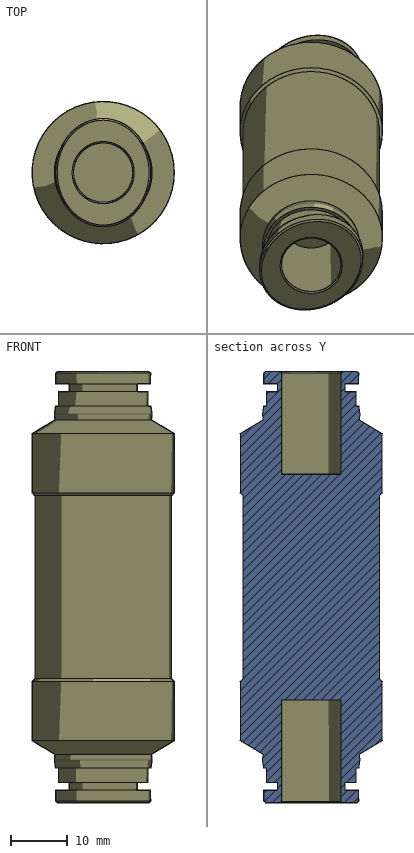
import cadquery as cq

total_length = 75.7
half_length = total_length / 2

tube_radius = 12.0
sleeve_radius = 12.5
sleeve_edge_chamfer = sleeve_radius - tube_radius

flange_thickness = 2.2
neck_depth = 3.55
collar_depth = 6.1
ring_crest_depth = 7.5
ring_base_depth = 8.5
shoulder_depth = 10.9
sleeve_depth = 21.8

neck_radius = 6.0
collar_radius = 7.9
ring_tip_radius = 8.4
ring_crest_radius = 8.6
ring_base_radius = 8.5

flange_width_x = 16.7
flange_width_y = 19.0
flange_chamfer = 0.3

socket_radius = 5.2
socket_depth = 18.0
socket_chamfer = 0.25


def make_tube():
    """Plain cylinder spanning the gap between the two sleeves."""
    tube_length = total_length - 2 * sleeve_depth
    return cq.Workplane("XY").cylinder(tube_length, tube_radius)


def make_upper_end_body():
    """Revolve the sleeve, conical shoulder and stepped nose."""
    neck_top = half_length - flange_thickness
    neck_base = half_length - neck_depth
    collar_base = half_length - collar_depth
    ring_crest = half_length - ring_crest_depth
    ring_base = half_length - ring_base_depth
    shoulder = half_length - shoulder_depth
    sleeve_end = half_length - sleeve_depth
    profile = [
        (0, sleeve_end),
        (tube_radius, sleeve_end),
        (sleeve_radius, sleeve_end + sleeve_edge_chamfer),
        (sleeve_radius, shoulder),
        (ring_base_radius, ring_base),
        (ring_crest_radius, ring_crest),
        (ring_tip_radius, collar_base),
        (collar_radius, collar_base),
        (collar_radius, neck_base),
        (neck_radius, neck_base),
        (neck_radius, neck_top),
        (0, neck_top),
    ]
    return cq.Workplane("XZ").polyline(profile).close().revolve(360, (0, 0, 0), (0, 1, 0))


def make_flange():
    """Elliptical flange with a chamfered outer edge."""
    return (
        cq.Workplane("XY")
        .workplane(offset=half_length - flange_thickness)
        .ellipse(flange_width_x / 2, flange_width_y / 2)
        .extrude(flange_thickness)
        .faces(">Z")
        .chamfer(flange_chamfer)
    )


def make_socket():
    """Blind bore with a chamfered mouth, as a cutting solid."""
    floor = half_length - socket_depth
    mouth_radius = socket_radius + socket_chamfer
    profile = [
        (0, floor),
        (socket_radius, floor),
        (socket_radius, half_length - socket_chamfer),
        (mouth_radius, half_length),
        (0, half_length),
    ]
    return cq.Workplane("XZ").polyline(profile).close().revolve(360, (0, 0, 0), (0, 1, 0))


upper_end = make_upper_end_body().union(make_flange()).cut(make_socket())
lower_end = upper_end.mirror("XY")
result = make_tube().union(upper_end).union(lower_end)